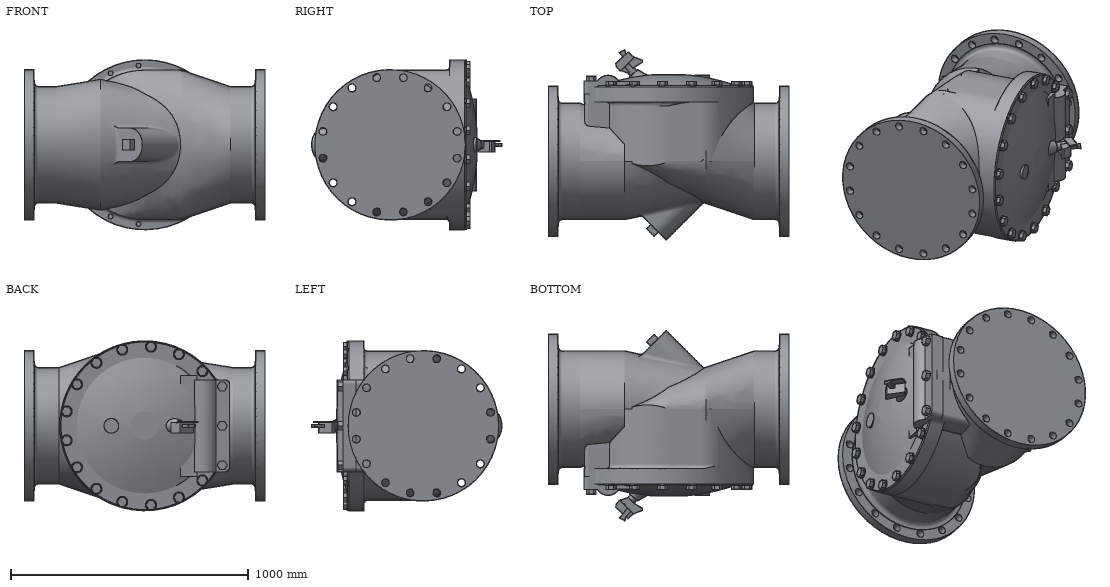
import cadquery as cq
import math


face_to_face = 1016.0
half_length = face_to_face / 2
flange_diameter = 635.0
flange_thickness = 40.1
pipe_radius = 245.8
hub_radius = 272.0
hub_height = 2.5
hub_fillet = 17.0
pipe_bolt_count = 16
pipe_bolt_circle = 577.85
pipe_bolt_hole = 32.0

inlet_flare_x = -373.0
inlet_throat_x = -186.0
inlet_throat_half_z = 276.0
inlet_throat_top_y = 185.0
inlet_end_x = 151.0
inlet_end_half_y = 175.0
inlet_end_half_z = 212.0

outlet_start_x = 157.0
outlet_end_x = 361.0
outlet_bottom_depth = 177.0
outlet_top_height = 450.0
outlet_top_limit = 300.0

chamber_half_width = 315.0
chamber_corner_radius = 122.0
chamber_floor_start_x = -155.0
chamber_floor_start_depth = 17.0
chamber_floor_middle_depth = 127.0
bonnet_diameter = 717.25
bonnet_radius = bonnet_diameter / 2
chamber_corner_x = math.sqrt(
    (bonnet_radius - chamber_corner_radius) ** 2 - (chamber_half_width - chamber_corner_radius) ** 2
)
bonnet_bottom_y = 251.0
bonnet_top_y = 315.0
bonnet_fillet = 16.0

cover_plate_y = 320.0
cover_plate_chamfer = 5.0
dome_base_radius = 286.0
dome_top_y = 367.0
dome_flat_radius = 60.0

cover_bolt_circle_radius = 335.0
cover_bolt_pitch_angle = 21.0
cover_bolts_per_side = 7
bolt_across_corners = 42.0
cover_bolt_top_y = 338.0
cover_bolt_washer_radius = 23.0
cover_bolt_washer_thickness = 3.0
cover_bolt_hole_radius = 10.0
cover_bolt_hole_depth = 40.0
open_bolt_holes_per_side = 3

hinge_left_x = -358.0
hinge_right_x = -250.0
hinge_half_width = 194.0
hinge_corner_radius = 18.0
hinge_blend_radius = 18.0
hinge_bottom_y = 120.0
hinge_top_y = 340.0
hinge_split_y = 285.0
hinge_cap_overhang = 3.5
pivot_pad_x_range = (-220.0, -150.0)
pivot_pad_half_width = 213.0
pivot_pad_top_y = 337.0
hinge_bolt_x = -327.0
hinge_bolt_spacing = 166.0
hinge_bolt_top_y = 360.0
pivot_x = -256.0
pivot_y = 311.0
pivot_radius = 53.0

plug_x = 141.0
plug_radius = 31.0
plug_top_y = 364.0

boss_radius = 70.0
boss_lowest_y = -331.5
boss_face_x = -60.0
boss_length = 250.0
boss_web = 90.0
boss_root_fillet = 18.0
boss_key_size = 45.0
boss_key_height = 25.0

stem_foot = (-115.0, 335.0)
stem_direction = (-0.66, 0.75)
stem_base_radius = 40.0
stem_neck_radius = 23.0
stem_neck_length = 50.0
stem_radius = 18.0
stem_length = 95.0
switch_back_z = -31.0
switch_front_z = 14.0
switch_plate_thickness = 5.0
switch_outline = [(-206, 385), (-149, 442), (-110, 427), (-110, 419), (-149, 395), (-171, 372)]
switch_plate_outline = [(-171, 463), (-224, 414), (-222, 400), (-204, 381), (-145, 440), (-158, 449)]
blade_outline = [(-209, 459), (-184, 472.15), (-182, 457), (-150, 420), (-165, 405), (-195, 444)]
blade_half_thickness = 6.0

edge_margin = 1.0


def disc_y(radius, bottom_y, top_y, x=0.0, z=0.0):
    """Cylinder standing along Y."""
    return cq.Workplane("XZ", origin=(x, bottom_y, z)).circle(radius).extrude(bottom_y - top_y)


def slab_y(x_range, half_z, y_range):
    """Block symmetric about Z = 0."""
    (x0, x1), (y0, y1) = x_range, y_range
    return cq.Workplane("XY").box(x1 - x0, y1 - y0, 2 * half_z).translate(
        ((x0 + x1) / 2, (y0 + y1) / 2, 0)
    )


def oval_cone(x0, half_y0, half_z0, x1, half_y1, half_z1):
    """Straight-sided loft along X between two ellipses."""
    return (
        cq.Workplane("YZ", origin=(x0, 0, 0)).ellipse(half_y0, half_z0)
        .workplane(offset=x1 - x0).ellipse(half_y1, half_z1)
        .loft(ruled=True, combine=True)
    )


def upper_half(body, top_y=half_length):
    """The part of a body between Y = 0 and top_y."""
    return body.intersect(slab_y((-half_length, half_length), half_length, (0, top_y)))


def lower_half(body):
    """The part of a body below Y = 0."""
    return body.intersect(slab_y((-half_length, half_length), half_length, (-half_length, 0)))


def hex_head(x, z, across_corners, bottom_y, top_y):
    return (
        cq.Workplane("XZ", origin=(x, bottom_y, z))
        .polygon(6, across_corners).extrude(bottom_y - top_y)
    )


def pipe_end(inner_x):
    """Flange, raised hub and neck at the -X end, reaching in to inner_x."""
    flange_back = -half_length + flange_thickness
    hub_face = flange_back + hub_height
    neck_start = hub_face + hub_fillet
    fillet_middle = hub_fillet * (1 - math.sqrt(0.5))
    profile = (
        cq.Workplane("XY")
        .moveTo(-half_length, 0)
        .lineTo(-half_length, flange_diameter / 2)
        .lineTo(flange_back, flange_diameter / 2)
        .lineTo(flange_back, hub_radius)
        .lineTo(hub_face, hub_radius)
        .lineTo(hub_face, pipe_radius + hub_fillet)
        .threePointArc((hub_face + fillet_middle, pipe_radius + fillet_middle), (neck_start, pipe_radius))
        .lineTo(inner_x, pipe_radius)
        .lineTo(inner_x, 0)
        .close()
    )
    body = profile.revolve(360, (0, 0, 0), (1, 0, 0))
    holes = (
        cq.Workplane("YZ", origin=(-half_length, 0, 0))
        .transformed(rotate=(0, 0, 180 / pipe_bolt_count))
        .polarArray(pipe_bolt_circle / 2, 0, 360, pipe_bolt_count)
        .circle(pipe_bolt_hole / 2)
        .extrude(flange_thickness + hub_height)
    )
    return body.cut(holes)


def inlet_body():
    """The lower half keeps its depth up to the throat; the upper half dips towards the cover."""
    def flare(throat_half_y):
        return oval_cone(
            inlet_flare_x, pipe_radius, pipe_radius,
            inlet_throat_x, throat_half_y, inlet_throat_half_z,
        )

    taper = oval_cone(
        inlet_throat_x, pipe_radius, inlet_throat_half_z,
        inlet_end_x, inlet_end_half_y, inlet_end_half_z,
    )
    top = upper_half(flare(inlet_throat_top_y))
    return top.union(lower_half(flare(pipe_radius))).union(lower_half(taper))


def outlet_body():
    """The lower half is shallow and the upper half is tall; both end in the round neck."""
    def cone(start_half_y):
        return oval_cone(
            outlet_start_x, start_half_y, chamber_half_width,
            outlet_end_x, pipe_radius, pipe_radius,
        )

    top = upper_half(cone(outlet_top_height), outlet_top_limit)
    return top.union(lower_half(cone(outlet_bottom_depth)))


def chamber_column(bottom_y, top_y):
    """Round on the inlet side, flat-sided on the outlet side, with rounded corners to the bonnet circle."""
    corner = chamber_corner_radius
    turn = math.atan2(chamber_corner_x, chamber_half_width - corner)
    end_x = bonnet_radius * math.sin(turn)
    end_z = bonnet_radius * math.cos(turn)
    middle_x = chamber_corner_x + corner * math.sin(turn / 2)
    middle_z = chamber_half_width - corner * (1 - math.cos(turn / 2))
    return (
        cq.Workplane("XZ", origin=(0, bottom_y, 0))
        .moveTo(0, chamber_half_width)
        .lineTo(chamber_corner_x, chamber_half_width)
        .threePointArc((middle_x, middle_z), (end_x, end_z))
        .threePointArc((bonnet_radius, 0), (end_x, -end_z))
        .threePointArc((middle_x, -middle_z), (chamber_corner_x, -chamber_half_width))
        .lineTo(0, -chamber_half_width)
        .threePointArc((-chamber_half_width, 0), (0, chamber_half_width))
        .close()
        .extrude(bottom_y - top_y)
    )


def chamber():
    walls = chamber_column(0, bonnet_bottom_y)
    shallow_floor = oval_cone(
        chamber_floor_start_x, chamber_floor_start_depth, chamber_half_width,
        0, chamber_floor_middle_depth, chamber_half_width,
    )
    deep_floor = oval_cone(
        0, chamber_floor_middle_depth, chamber_half_width,
        outlet_start_x, outlet_bottom_depth, chamber_half_width,
    )
    floor = shallow_floor.union(deep_floor)
    floor = floor.intersect(chamber_column(-outlet_bottom_depth, bonnet_bottom_y))
    bonnet = disc_y(bonnet_radius, bonnet_bottom_y, bonnet_top_y)
    return walls.union(floor).union(bonnet).union(bonnet_blend())


def bonnet_blend():
    """Concave blend between the chamber wall and the underside of the bonnet flange."""
    bottom = bonnet_bottom_y - bonnet_fillet
    middle = bonnet_fillet * (1 - math.sqrt(0.5))

    def section(plane, wall):
        return (
            plane.moveTo(wall - bonnet_fillet, bottom)
            .lineTo(wall, bottom)
            .threePointArc((wall + middle, bonnet_bottom_y - middle), (wall + bonnet_fillet, bonnet_bottom_y))
            .lineTo(wall - bonnet_fillet, bonnet_bottom_y)
            .close()
        )

    side_plane = cq.Plane((0, 0, 0), xDir=(0, 0, 1), normal=(-1, 0, 0))
    corner_z = chamber_half_width - chamber_corner_radius
    round_part = section(cq.Workplane("XY"), chamber_half_width).revolve(360, (0, 0, 0), (0, 1, 0))
    straight = section(cq.Workplane(side_plane), chamber_half_width).extrude(-chamber_corner_x)
    corner = (
        section(cq.Workplane("XY", origin=(chamber_corner_x, 0, corner_z)), chamber_corner_radius)
        .revolve(360, (0, 0, 0), (0, 1, 0))
    )
    side = straight.union(corner)
    blend = round_part.union(side).union(side.mirror("XY"))
    return blend.intersect(disc_y(bonnet_radius, bottom, bonnet_bottom_y))


def cover():
    """Chamfered plate carrying a shallow dome with a flat top."""
    centre_y = (dome_flat_radius**2 + dome_top_y**2 - dome_base_radius**2 - cover_plate_y**2) / (
        2 * (dome_top_y - cover_plate_y)
    )
    sphere_radius = math.hypot(dome_flat_radius, dome_top_y - centre_y)
    middle_radius = (dome_flat_radius + dome_base_radius) / 2
    middle_y = centre_y + math.sqrt(sphere_radius**2 - middle_radius**2)
    return (
        cq.Workplane("XY")
        .moveTo(0, bonnet_top_y)
        .lineTo(bonnet_radius, bonnet_top_y)
        .lineTo(bonnet_radius - cover_plate_chamfer, cover_plate_y)
        .lineTo(dome_base_radius, cover_plate_y)
        .threePointArc((middle_radius, middle_y), (dome_flat_radius, dome_top_y))
        .lineTo(0, dome_top_y)
        .close()
        .revolve(360, (0, 0, 0), (0, 1, 0))
    )


def cover_bolt_places(first, last):
    """(x, z) of the bolts first..last-1 on both sides, counted from the outlet side."""
    places = []
    for index in range(first, last):
        angle = math.radians((index + 0.5) * cover_bolt_pitch_angle)
        x = cover_bolt_circle_radius * math.cos(angle)
        z = cover_bolt_circle_radius * math.sin(angle)
        places += [(x, z), (x, -z)]
    return places


def cover_bolts():
    bolts = cq.Workplane("XY")
    washer_top = cover_plate_y + cover_bolt_washer_thickness
    for x, z in cover_bolt_places(0, cover_bolts_per_side):
        bolts = bolts.union(disc_y(cover_bolt_washer_radius, bonnet_top_y, washer_top, x, z))
        bolts = bolts.union(hex_head(x, z, bolt_across_corners, bonnet_top_y, cover_bolt_top_y))
    return bolts.intersect(disc_y(bonnet_radius, bonnet_top_y, cover_bolt_top_y))


def cover_bolt_holes():
    """Blind holes under the bonnet flange, where it overhangs the chamber on the inlet side."""
    holes = cq.Workplane("XY")
    bottom = bonnet_bottom_y - bonnet_fillet
    first = cover_bolts_per_side - open_bolt_holes_per_side
    for x, z in cover_bolt_places(first, cover_bolts_per_side):
        holes = holes.union(
            disc_y(cover_bolt_hole_radius, bottom, bonnet_bottom_y + cover_bolt_hole_depth, x, z)
        )
    return holes


def hinge_lug():
    """Block beside the bonnet; its upper part overhangs the lower part on the inlet side."""
    def part(left_x, bottom_y, top_y):
        block = slab_y((left_x, hinge_right_x), hinge_half_width, (bottom_y, top_y))
        return block.edges("|Y and <X").fillet(hinge_corner_radius)

    lower = part(hinge_left_x + hinge_cap_overhang, hinge_bottom_y, hinge_split_y)
    return lower.union(part(hinge_left_x, hinge_split_y, hinge_top_y))


def hinge_fittings():
    """Pivot barrel with its end pads, and the three bolt heads on the lug."""
    pivot = (
        cq.Workplane("XY", origin=(pivot_x, pivot_y, -hinge_half_width))
        .circle(pivot_radius).extrude(2 * hinge_half_width)
    )
    pads = slab_y(pivot_pad_x_range, pivot_pad_half_width, (bonnet_top_y, pivot_pad_top_y))
    fittings = pivot.union(pads)
    for z in (-hinge_bolt_spacing, 0, hinge_bolt_spacing):
        fittings = fittings.union(
            hex_head(hinge_bolt_x, z, bolt_across_corners, hinge_top_y, hinge_bolt_top_y)
        )
    return fittings


def lower_boss():
    """D-shaped boss whose round side points to +X -Y, with a square key on its end face."""
    face_y = boss_lowest_y + boss_radius * math.sqrt(0.5)
    end_plane = cq.Plane((boss_face_x, face_y, 0), xDir=(1, -1, 0), normal=(1, 1, 0))
    barrel = (
        cq.Workplane(end_plane)
        .moveTo(-boss_web, boss_radius)
        .lineTo(0, boss_radius)
        .threePointArc((boss_radius, 0), (0, -boss_radius))
        .lineTo(-boss_web, -boss_radius)
        .close()
        .extrude(boss_length)
    )
    key = cq.Workplane(end_plane).rect(boss_key_size, boss_key_size).extrude(-boss_key_height)
    return barrel.union(key)


def position_switch():
    foot = cq.Plane((*stem_foot, 0), xDir=(0, 0, 1), normal=(*stem_direction, 0))
    neck = (
        cq.Workplane(foot).circle(stem_base_radius)
        .workplane(offset=stem_neck_length).circle(stem_neck_radius)
        .loft(ruled=True)
    )
    stem = cq.Workplane(foot).circle(stem_radius).extrude(stem_length)
    box = (
        cq.Workplane("XY", origin=(0, 0, switch_back_z))
        .polyline(switch_outline).close().extrude(switch_front_z - switch_back_z)
    )
    plate = (
        cq.Workplane("XY", origin=(0, 0, switch_front_z))
        .polyline(switch_plate_outline).close().extrude(switch_plate_thickness)
    )
    blade = (
        cq.Workplane("XY").polyline(blade_outline).close()
        .extrude(blade_half_thickness, both=True)
    )
    return neck.union(stem).union(box).union(plate).union(blade)


def pressure_body():
    """Pipe ends, inlet, outlet and chamber, with the lower boss and the hinge lug blended in."""
    body = pipe_end(inlet_flare_x).union(pipe_end(-outlet_end_x).mirror("YZ"))
    for feature in (inlet_body(), outlet_body(), chamber(), lower_boss()):
        body = body.union(feature)
    body = blend_boss_root(body)
    return blend_hinge_lug(body.union(hinge_lug()))


def blend_boss_root(body):
    """Round the seam where the boss leaves the inlet body."""
    root_zone = cq.selectors.BoxSelector(
        (-boss_length, -boss_length, -boss_radius - edge_margin),
        (0, -chamber_floor_middle_depth, boss_radius + edge_margin),
    )
    return body.edges(root_zone).edges("%BSPLINE").fillet(boss_root_fillet)


def blend_hinge_lug(body):
    """Round the two inner corners where the lug sides meet the rim of the bonnet flange."""
    corner_x = -math.sqrt(bonnet_radius**2 - hinge_half_width**2)
    corner_zone = cq.selectors.BoxSelector(
        (corner_x - edge_margin, bonnet_bottom_y, -hinge_half_width - edge_margin),
        (corner_x + edge_margin, bonnet_top_y, hinge_half_width + edge_margin),
    )
    return body.edges(corner_zone).edges("|Y").fillet(hinge_blend_radius)


result = pressure_body()
for feature in (
    hinge_fittings(),
    cover(),
    cover_bolts(),
    disc_y(plug_radius, cover_plate_y, plug_top_y, plug_x),
    position_switch(),
):
    result = result.union(feature)
result = result.cut(cover_bolt_holes())